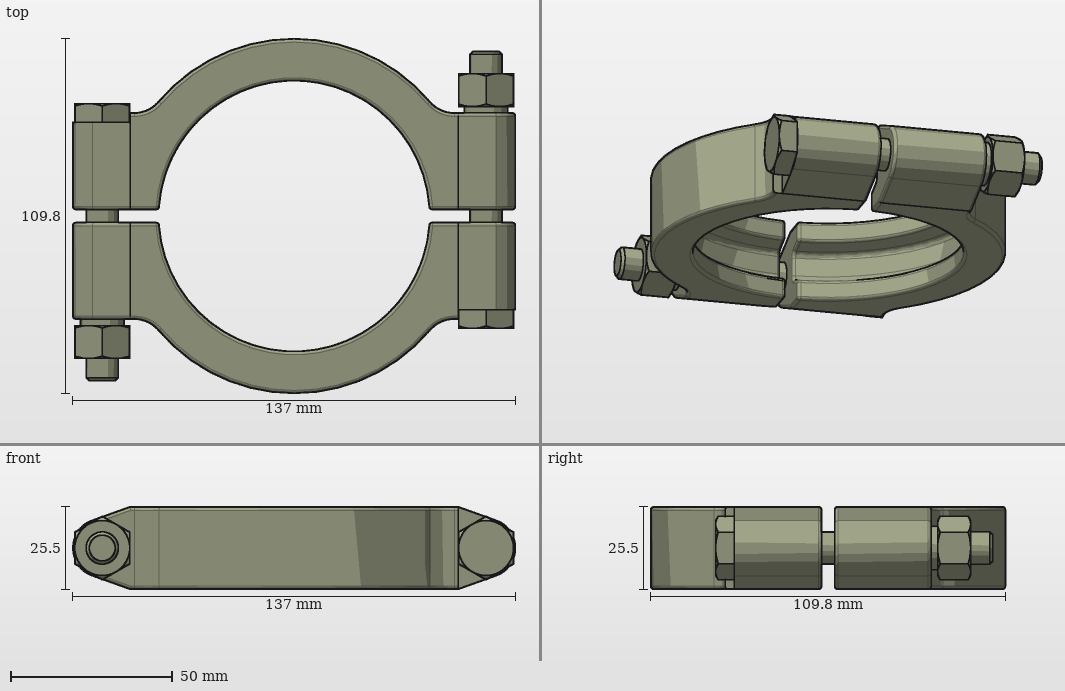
import cadquery as cq
import math

height = 25.5
outer_radius = 54.9
bore_radius = 41.9
split_gap = 4.0
lug_end = 31.9
corner_radius = 10.0
edge_fillet = 1.0

bolt_x = 59.4
lug_radius = 9.1
full_height_x = 50.8

groove_radius = 48.0
groove_mouth_height = 13.0
groove_angle = 20.0
groove_fillet = 2.0

shank_diameter = 10.0
shank_chamfer = 1.0
shank_end = 51.0
across_flats = 17.0
hex_chamfer_angle = 30.0
head_seat = 29.0
head_thickness = 5.8
collar_diameter = 13.5
collar_thickness = 2.0
nut_thickness = 10.2


def plan_outline():
    """Upper half of the clamp in plan, before the bore is cut."""
    half_gap = split_gap / 2
    lug_tip = bolt_x + lug_radius
    corner_y = lug_end + corner_radius
    reach = outer_radius + corner_radius
    corner_x = math.sqrt(reach**2 - corner_y**2)
    tangent_x = corner_x * outer_radius / reach
    tangent_y = corner_y * outer_radius / reach
    middle_angle = (math.atan2(-corner_y, -corner_x) - math.pi / 2) / 2
    middle_x = corner_x + corner_radius * math.cos(middle_angle)
    middle_y = corner_y + corner_radius * math.sin(middle_angle)
    return (
        cq.Workplane("XY", origin=(0, 0, -height / 2))
        .moveTo(-lug_tip, half_gap)
        .lineTo(lug_tip, half_gap)
        .lineTo(lug_tip, lug_end)
        .lineTo(corner_x, lug_end)
        .threePointArc((middle_x, middle_y), (tangent_x, tangent_y))
        .threePointArc((0, outer_radius), (-tangent_x, tangent_y))
        .threePointArc((-middle_x, middle_y), (-corner_x, lug_end))
        .lineTo(-lug_tip, lug_end)
        .close()
    )


def side_profile():
    """Full-height middle tapering tangentially into round lugs, along all of Y."""
    half_height = height / 2
    run = bolt_x - full_height_x
    distance = math.hypot(run, half_height)
    tangent_angle = math.atan2(half_height, -run) - math.acos(lug_radius / distance)
    tangent_x = bolt_x + lug_radius * math.cos(tangent_angle)
    tangent_z = lug_radius * math.sin(tangent_angle)
    lug_tip = bolt_x + lug_radius
    return (
        cq.Workplane("XZ", origin=(0, outer_radius, 0))
        .moveTo(-full_height_x, half_height)
        .lineTo(full_height_x, half_height)
        .lineTo(tangent_x, tangent_z)
        .threePointArc((lug_tip, 0), (tangent_x, -tangent_z))
        .lineTo(full_height_x, -half_height)
        .lineTo(-full_height_x, -half_height)
        .lineTo(-tangent_x, -tangent_z)
        .threePointArc((-lug_tip, 0), (-tangent_x, tangent_z))
        .close()
        .extrude(2 * outer_radius)
    )


def bore_cutter():
    """Bore with a wedge-sided groove at mid height."""
    mouth = groove_mouth_height / 2
    floor = mouth - (groove_radius - bore_radius) * math.tan(math.radians(groove_angle))
    groove = (
        cq.Workplane("XZ")
        .moveTo(0, -mouth)
        .lineTo(bore_radius, -mouth)
        .lineTo(groove_radius, -floor)
        .lineTo(groove_radius, floor)
        .lineTo(bore_radius, mouth)
        .lineTo(0, mouth)
        .close()
        .revolve(360, (0, 0, 0), (0, 1, 0))
        .edges(cq.selectors.RadiusNthSelector(-1))
        .fillet(groove_fillet)
    )
    return cq.Workplane("XY").circle(bore_radius).extrude(height, both=True).union(groove)


def rounded(body):
    """Round the rims of the flats, split faces, lug ends and bore, leaving the taper creases sharp."""
    rims = body.faces("<Y").edges()
    rims.add(body.faces("|Z").edges("not |Y"))
    rims.add(body.faces("|Y").faces("not <Y").edges("not |Z"))
    rims.add(body.edges("%CIRCLE").filter(lambda edge: math.isclose(edge.radius(), bore_radius)))
    return rims.fillet(edge_fillet)


def clamp_half():
    """Half on the +Y side, with the bolt head seat cut into its -X lug."""
    body = plan_outline().extrude(height).intersect(side_profile()).cut(bore_cutter())
    seat_length = 2 * lug_radius
    seat = (
        cq.Workplane("XY")
        .box(seat_length, seat_length, height, centered=(True, False, True))
        .translate((-full_height_x - seat_length / 2, head_seat, 0))
    )
    return rounded(body).cut(seat)


def along_y(start_y):
    """Workplane across the -X bolt axis; extruding runs towards -Y."""
    return cq.Workplane("XZ", origin=(-bolt_x, start_y, 0))


def hexagon(start_y, thickness, chamfer_both_ends):
    """Hexagon with two flats facing along X, its corners turned off at the end faces."""
    hex_corner_radius = across_flats / math.sqrt(3)
    flat_radius = across_flats / 2
    drop = (hex_corner_radius - flat_radius) * math.tan(math.radians(hex_chamfer_angle))
    blank = (
        along_y(start_y)
        .transformed(rotate=(0, 0, 90))
        .polygon(6, 2 * hex_corner_radius)
        .extrude(thickness)
    )
    ends = "|Y" if chamfer_both_ends else ">Y"
    turned = along_y(start_y).circle(hex_corner_radius).extrude(thickness)
    turned = turned.faces(ends).chamfer(drop, hex_corner_radius - flat_radius)
    return blank.intersect(turned)


def bolt():
    """Bolt on the -X side, head towards +Y and nut towards -Y."""
    head_top = head_seat + head_thickness
    nut_start = -lug_end - collar_thickness
    shank = (
        along_y(head_seat)
        .circle(shank_diameter / 2)
        .extrude(head_seat + shank_end)
        .faces("<Y")
        .chamfer(shank_chamfer)
    )
    collar = along_y(-lug_end).circle(collar_diameter / 2).extrude(collar_thickness)
    head = hexagon(head_top, head_thickness, chamfer_both_ends=False)
    nut = hexagon(nut_start, nut_thickness, chamfer_both_ends=True)
    return shank.union(collar).union(head).union(nut)


def turned_around(body):
    """Copy turned half a turn about Z."""
    return body.rotate((0, 0, 0), (0, 0, 1), 180)


half = clamp_half()
left_bolt = bolt()
result = half.union(turned_around(half)).union(left_bolt).union(turned_around(left_bolt))